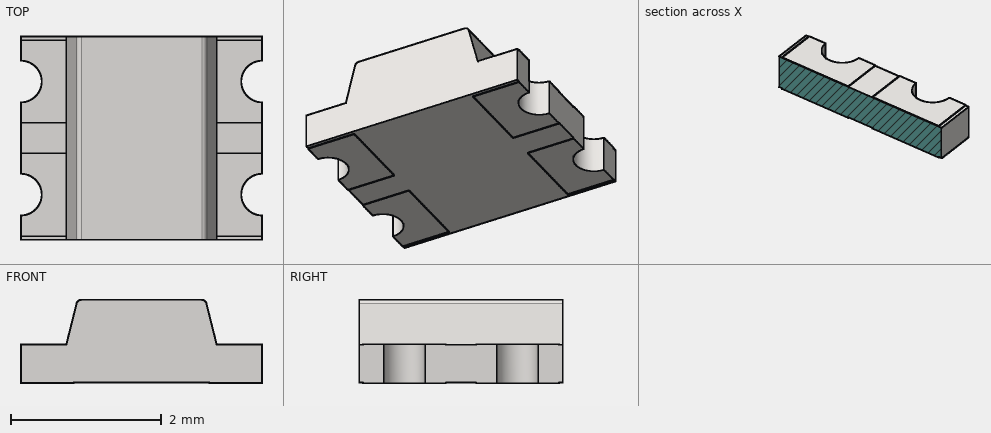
import cadquery as cq

BOARD_LENGTH = 3.2
BOARD_WIDTH = 2.7
BOARD_THICKNESS = 0.5

PLATING_THICKNESS = 0.01
PAD_WIDTH = 1.1
PAD_PITCH = 1.5
TOP_PAD_LENGTH = 0.6
BOTTOM_PAD_LENGTH = 0.7
NOTCH_RADIUS = 0.275

LENS_HEIGHT = 0.6
LENS_BASE_LENGTH = 2.0
LENS_TOP_LENGTH = 1.7
LENS_EDGE_RADIUS = 0.065

BOARD_BOTTOM = PLATING_THICKNESS
BOARD_TOP = BOARD_BOTTOM + BOARD_THICKNESS
PLATED_HEIGHT = BOARD_THICKNESS + 2 * PLATING_THICKNESS
LENS_TOP = BOARD_TOP + LENS_HEIGHT


def block(length, width, height, x, y, bottom):
    """Box centred on (x, y) that rises from the given bottom level."""
    return (
        cq.Workplane("XY", origin=(x, y, bottom))
        .box(length, width, height, centered=(True, True, False))
    )


def make_lens():
    """Trapezoidal bar along Y with its two long top edges rounded."""
    bar = (
        cq.Workplane("XZ")
        .moveTo(-LENS_BASE_LENGTH / 2, BOARD_TOP)
        .lineTo(LENS_BASE_LENGTH / 2, BOARD_TOP)
        .lineTo(LENS_TOP_LENGTH / 2, LENS_TOP)
        .lineTo(-LENS_TOP_LENGTH / 2, LENS_TOP)
        .close()
        .extrude(BOARD_WIDTH / 2, both=True)
    )
    return bar.faces(">Z").edges("|Y").fillet(LENS_EDGE_RADIUS)


def make_terminal_pads(end, y):
    """Top and bottom pads of one terminal; end is -1 or 1 for the board end in X."""
    top_x = end * (BOARD_LENGTH - TOP_PAD_LENGTH) / 2
    bottom_x = end * (BOARD_LENGTH - BOTTOM_PAD_LENGTH) / 2
    top_pad = block(TOP_PAD_LENGTH, PAD_WIDTH, PLATING_THICKNESS, top_x, y, BOARD_TOP)
    bottom_pad = block(BOTTOM_PAD_LENGTH, PAD_WIDTH, PLATING_THICKNESS, bottom_x, y, 0)
    return top_pad.union(bottom_pad)


def make_notch(end, y):
    """Cylinder on the board end that leaves a half-round notch through a terminal."""
    return (
        cq.Workplane("XY", origin=(end * BOARD_LENGTH / 2, y, 0))
        .circle(NOTCH_RADIUS)
        .extrude(PLATED_HEIGHT)
    )


def make_part():
    part = block(BOARD_LENGTH, BOARD_WIDTH, BOARD_THICKNESS, 0, 0, BOARD_BOTTOM)
    part = part.union(make_lens())
    for end in (-1, 1):
        for side in (-1, 1):
            y = side * PAD_PITCH / 2
            part = part.union(make_terminal_pads(end, y))
            part = part.cut(make_notch(end, y))
    return part


result = make_part()